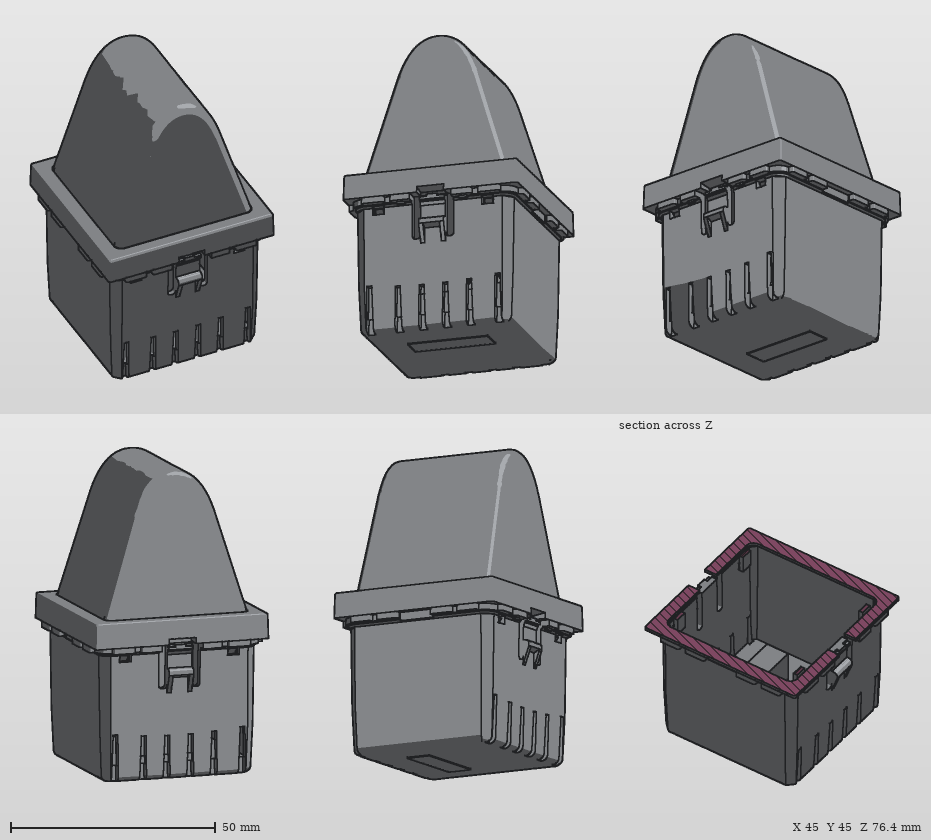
import cadquery as cq
import math

connector_bottom = 0.0
housing_bottom = 0.2
floor_top = 4.2
draft_change_z = 12.7
wall_top_z = 31.95
flange_bottom_z = 32.7
housing_top = 34.25
cap_bottom = 35.15
bezel_top = 40.6
cap_edge_z = 41.35
crown_start_z = 65.6
cap_top = 76.4

wall_half_top = 20.2
wall_half_mid = 19.9
wall_half_bottom = 19.3
corner_flat_half = 17.8
corner_flat_half_bottom = 17.5
side_bulge = 0.04
bottom_round = 1.7
wall = 1.5
overlap = 0.8

flange_half = 21.2
flange_corner = 3.5
flange_foot_half = 20.7
flange_foot_chamfer = 0.5

tab_spans = ((4.7, 10.5), (12.15, 17.8))
tab_round = 0.5
ledge_height = 0.5
front_ledge_width = 9.2
front_ledge_half = 20.8
side_ledge_width = 2.15
side_ledge_y = 7.95

vent_places = (3.05, 9.2, 16.5)
vent_top_width = 1.2
vent_bottom_width = 1.8
vent_depth = 1.8
vent_top_center_z = 11.15
vent_top_rise = 1.15

latch_slot_inner = 3.2
latch_slot_outer = 5.35
latch_slot_bottom = 23.0
latch_slot_corner = 0.9
tongue_top = 33.9
tongue_shoulder = 33.4
tongue_nub_width = 2.7

hook_reach = 21.7
hook_top = 28.0
hook_root_top = 28.2
hook_knee = 26.45
hook_bottom = 21.85
hook_round = 1.0
hook_recess_width = 4.3
hook_recess_top = 25.6
hook_recess_rim = 26.45
tongue_slope_bottom = 31.4

window_y = 14.1
window_width = 3.0
window_bottom = 30.3
window_top = 32.3

bezel_size = 45.0
bezel_top_size = 44.7
bezel_round = 0.6
notch_width = 6.95
notch_height = 1.45

plug_half_x = 19.1
cap_half_x = 18.95
cap_half_x_crown = 17.65
cap_half_y = 18.65
cap_edge_half_y = 18.3
crown_half_y = 10.6
cap_round = 2.0
leg_outer_x = 18.4
leg_thickness = 1.15
leg_width = 3.2
leg_hook_width = 2.1
leg_hook_reach = 19.6
leg_hook_top = 31.8

connector_x = -5.5
connector_length = 6.3
connector_width = 20.6
connector_top = 12.6


def line_at(z, z1, value1, z2, value2):
    """Value at height z on the straight line through two known points."""
    return value1 + (value2 - value1) * (z - z1) / (z2 - z1)


def upper_half(z):
    """Half width of the upper part of the housing wall at height z."""
    return line_at(z, wall_top_z, wall_half_top, draft_change_z, wall_half_mid)


def lower_half(z):
    """Half width of the steeper lower part of the housing wall at height z."""
    return line_at(z, draft_change_z, wall_half_mid, housing_bottom, wall_half_bottom)


def lower_flat_half(z):
    """Half length of the straight sides of the lower part at height z."""
    return line_at(z, draft_change_z, corner_flat_half, housing_bottom, corner_flat_half_bottom)


def box(x_range, y_range, z_range):
    """Box given by its limits along each axis."""
    size = [high - low for low, high in (x_range, y_range, z_range)]
    return cq.Workplane("XY").box(*size, centered=False).translate(
        (x_range[0], y_range[0], z_range[0])
    )


def octagon(z, half, flat, bulge=0.0):
    """Square with cut corners at height z; its X sides may bow outward."""
    outline = cq.Workplane("XY").workplane(offset=z).moveTo(half, -flat)
    if bulge:
        outline = outline.threePointArc((half + bulge, 0), (half, flat))
    else:
        outline = outline.lineTo(half, flat)
    outline = outline.lineTo(flat, half).lineTo(-flat, half).lineTo(-half, flat)
    if bulge:
        outline = outline.threePointArc((-half - bulge, 0), (-half, -flat))
    else:
        outline = outline.lineTo(-half, -flat)
    return outline.lineTo(-flat, -half).lineTo(flat, -half).close().val()


def loft(*wires):
    return cq.Workplane(cq.Solid.makeLoft(list(wires), True))


def on_both_x_sides(shape):
    """The shape joined with its copy turned half a turn about Z."""
    return shape.union(shape.rotate((0, 0, 0), (0, 0, 1), 180))


def rounded_square(size, corner, z_low, z_high):
    block = cq.Workplane("XY").workplane(offset=z_low).rect(size, size).extrude(z_high - z_low)
    return block.edges("|Z").fillet(corner)


def housing_shell():
    upper = loft(
        octagon(housing_bottom, upper_half(housing_bottom), corner_flat_half),
        octagon(housing_top, upper_half(housing_top), corner_flat_half),
    )
    lower = loft(
        octagon(housing_bottom, lower_half(housing_bottom), lower_flat_half(housing_bottom), side_bulge),
        octagon(housing_top, lower_half(housing_top), lower_flat_half(housing_top), side_bulge),
    )
    lower = lower.faces("<Z").edges().fillet(bottom_round)
    return upper.intersect(lower)


def housing_flange():
    plate = rounded_square(2 * flange_half, flange_corner, flange_bottom_z, housing_top)
    foot = rounded_square(2 * flange_foot_half, flange_corner, wall_top_z, flange_bottom_z)
    return plate.union(foot.faces("<Z").edges().chamfer(flange_foot_chamfer))


def housing_tabs():
    """Two pairs of tabs on every side, flush with the bezel."""
    tabs = cq.Workplane("XY")
    for start, end in tab_spans:
        for y_range in ((start, end), (-end, -start)):
            tab = box((flange_half - overlap, bezel_size / 2), y_range, (flange_bottom_z, housing_top))
            tab = tab.edges("|Z and >X").fillet(tab_round)
            for turn in range(4):
                tabs = tabs.union(tab.rotate((0, 0, 0), (0, 0, 1), 90 * turn))
    return tabs


def front_setbacks():
    """Stretches in the middle of both Y sides where the flange face steps inward."""
    width = (-front_ledge_width / 2, front_ledge_width / 2)
    setback = box((front_ledge_half, bezel_size / 2), width, (wall_top_z, housing_top))
    return on_both_x_sides(setback).rotate((0, 0, 0), (0, 0, 1), 90)


def housing_ledges():
    """Short blocks that carry the flange face down over its sloped underside."""
    z_range = (flange_bottom_z - ledge_height, flange_bottom_z)
    root = upper_half(wall_top_z) - wall / 2
    front = box((root, front_ledge_half), (-front_ledge_width / 2, front_ledge_width / 2), z_range)
    ledges = on_both_x_sides(front).rotate((0, 0, 0), (0, 0, 1), 90)
    for y in (-side_ledge_y, side_ledge_y):
        y_range = (y - side_ledge_width / 2, y + side_ledge_width / 2)
        ledges = ledges.union(on_both_x_sides(box((root, flange_half), y_range, z_range)))
    return ledges


def housing_cavity():
    inset_flat = corner_flat_half - wall * math.tan(math.pi / 8)
    return loft(
        octagon(floor_top, upper_half(floor_top) - wall, inset_flat),
        octagon(housing_top, upper_half(housing_top) - wall, inset_flat),
    )


def housing_vents():
    """Tapered slots low in both X walls, six on each side."""
    vents = cq.Workplane("XY")
    for place in vent_places:
        top_z = vent_top_center_z + vent_top_rise * (place / corner_flat_half) ** 2
        for y in (-place, place):
            vent = (
                cq.Workplane("YZ")
                .workplane(offset=lower_half(housing_bottom) - vent_depth)
                .polyline([
                    (y - vent_bottom_width / 2, 0),
                    (y + vent_bottom_width / 2, 0),
                    (y + vent_top_width / 2, top_z),
                    (y - vent_top_width / 2, top_z),
                ])
                .close()
                .extrude(2 * vent_depth)
            )
            vents = vents.union(on_both_x_sides(vent))
    return vents


def latch_slots():
    """Slots either side of each latch tongue, and the relief above its shoulder."""
    x_range = (upper_half(latch_slot_bottom) - wall - overlap, bezel_size / 2)
    cuts = box(x_range, (-latch_slot_inner, latch_slot_inner), (tongue_top, housing_top))
    for y_range in (
        (latch_slot_inner, latch_slot_outer),
        (-latch_slot_outer, -latch_slot_inner),
    ):
        slot = box(x_range, y_range, (latch_slot_bottom, housing_top))
        slot = slot.faces("<Z").edges("|X").fillet(latch_slot_corner)
        cuts = cuts.union(slot)
    for y_range in (
        (tongue_nub_width / 2, latch_slot_inner),
        (-latch_slot_inner, -tongue_nub_width / 2),
    ):
        relief = box((upper_half(housing_top), bezel_size / 2), y_range, (tongue_shoulder, housing_top))
        cuts = cuts.union(relief)
    return on_both_x_sides(cuts)


def tongue_slopes():
    """Sloped underside of the flange stub that remains on each tongue."""
    root = upper_half(wall_top_z) - wall / 2
    slope = (
        cq.Workplane("XZ")
        .polyline([
            (root, flange_bottom_z),
            (flange_foot_half, flange_bottom_z),
            (upper_half(tongue_slope_bottom), tongue_slope_bottom),
            (root, tongue_slope_bottom),
        ])
        .close()
        .extrude(latch_slot_inner, both=True)
    )
    return on_both_x_sides(slope)


def latch_hooks():
    """Rounded barb on each tongue, with two ribs running down from it."""
    root = upper_half(hook_bottom) - wall / 2
    barb = (
        cq.Workplane("XZ")
        .moveTo(root, hook_root_top)
        .lineTo(hook_reach - hook_round, hook_top)
        .radiusArc((hook_reach, hook_top - hook_round), hook_round)
        .lineTo(hook_reach, hook_knee)
        .lineTo(upper_half(hook_bottom), hook_bottom)
        .lineTo(root, hook_bottom)
        .close()
        .extrude(latch_slot_inner, both=True)
    )
    recess = (
        cq.Workplane("XZ")
        .polyline([
            (upper_half(hook_bottom), hook_bottom),
            (hook_reach, hook_bottom),
            (hook_reach, hook_recess_rim),
            (upper_half(hook_bottom), hook_recess_top),
        ])
        .close()
        .extrude(hook_recess_width / 2, both=True)
    )
    return on_both_x_sides(barb.cut(recess))


def snap_windows():
    windows = cq.Workplane("XY")
    for y in (-window_y, window_y):
        window = box(
            (leg_outer_x - overlap, flange_half),
            (y - window_width / 2, y + window_width / 2),
            (window_bottom, window_top),
        )
        windows = windows.union(on_both_x_sides(window))
    return windows


def connector_body():
    return box(
        (connector_x - connector_length / 2, connector_x + connector_length / 2),
        (-connector_width / 2, connector_width / 2),
        (connector_bottom, connector_top),
    )


def housing_body():
    outside = housing_shell().union(housing_flange()).cut(front_setbacks())
    outside = outside.union(housing_tabs()).union(housing_ledges())
    hollow = outside.cut(housing_cavity()).cut(housing_vents()).cut(latch_slots()).cut(snap_windows())
    return hollow.union(tongue_slopes()).union(latch_hooks()).cut(connector_body())


def cap_plug():
    """Lower part of the cap, filling the opening of the bezel."""
    plug = box(
        (-plug_half_x, plug_half_x), (-cap_half_y, cap_half_y), (cap_bottom, bezel_top)
    )
    return plug.edges("|Z").fillet(cap_round)


def cap_dome():
    """Wedge with a curved crown, narrowing toward the top along X."""
    slope = (crown_half_y - cap_edge_half_y, crown_start_z - cap_edge_z)
    foot_half_y = line_at(bezel_top, cap_edge_z, cap_edge_half_y, crown_start_z, crown_half_y)
    profile = (
        cq.Workplane("YZ")
        .workplane(offset=-cap_half_x)
        .moveTo(foot_half_y, bezel_top)
        .lineTo(-foot_half_y, bezel_top)
        .lineTo(-crown_half_y, crown_start_z)
        .spline(
            [(0, cap_top), (crown_half_y, crown_start_z)],
            tangents=[(-slope[0], slope[1]), (-slope[0], -slope[1])],
            includeCurrent=True,
        )
        .close()
        .extrude(2 * cap_half_x)
    )
    top_half_x = line_at(cap_top, bezel_top, cap_half_x, crown_start_z, cap_half_x_crown)
    taper = (
        cq.Workplane("XZ")
        .polyline([
            (-cap_half_x, bezel_top),
            (cap_half_x, bezel_top),
            (top_half_x, cap_top),
            (-top_half_x, cap_top),
        ])
        .close()
        .extrude(2 * cap_half_y, both=True)
    )
    dome = profile.intersect(taper)
    rim = dome.faces("<X or >X").edges("not #Z or >Z")
    return rim.fillet(cap_round)


def cap_skirt():
    """Thin sloped strip along the foot of both Y faces of the dome."""
    return (
        cq.Workplane("YZ")
        .workplane(offset=cap_round - cap_half_x)
        .polyline([
            (-cap_half_y, bezel_top),
            (cap_half_y, bezel_top),
            (cap_edge_half_y, cap_edge_z),
            (-cap_edge_half_y, cap_edge_z),
        ])
        .close()
        .extrude(2 * (cap_half_x - cap_round))
    )


def cap_legs():
    """Four snap legs whose sloped hooks sit in the windows of the housing."""
    legs = cq.Workplane("XY")
    for y in (-window_y, window_y):
        leg = box(
            (leg_outer_x - leg_thickness, leg_outer_x),
            (y - leg_width / 2, y + leg_width / 2),
            (window_bottom, cap_bottom),
        )
        hook = (
            cq.Workplane("XZ", origin=(0, y, 0))
            .polyline([
                (leg_outer_x, window_bottom),
                (leg_outer_x, leg_hook_top),
                (leg_hook_reach, leg_hook_top),
            ])
            .close()
            .extrude(leg_hook_width / 2, both=True)
        )
        leg = leg.union(hook)
        legs = legs.union(on_both_x_sides(leg))
    return legs


def cap_body():
    return cap_plug().union(cap_dome()).union(cap_skirt()).union(cap_legs())


def bezel_body():
    height = bezel_top - housing_top
    draft = math.degrees(math.atan((bezel_size - bezel_top_size) / 2 / height))
    frame = (
        cq.Workplane("XY")
        .workplane(offset=housing_top)
        .rect(bezel_size, bezel_size)
        .extrude(height, taper=draft)
    )
    frame = frame.edges("not #Z").fillet(bezel_round)
    frame = frame.faces(">Z").edges().fillet(bezel_round)
    notch = (
        cq.Workplane("XZ")
        .polyline([
            (cap_half_x, housing_top),
            (bezel_size / 2, housing_top),
            (bezel_size / 2, housing_top + notch_height),
            (cap_half_x, cap_bottom),
        ])
        .close()
        .extrude(notch_width / 2, both=True)
    )
    opening = cap_plug().union(cap_plug().translate((0, 0, housing_top - cap_bottom)))
    return frame.cut(opening).cut(on_both_x_sides(notch))


connector = connector_body()
housing = housing_body()
cap = cap_body()
bezel = bezel_body()

result = cq.Compound.makeCompound([
    housing.solids().val(),
    bezel.solids().val(),
    cap.solids().val(),
    connector.solids().val(),
])